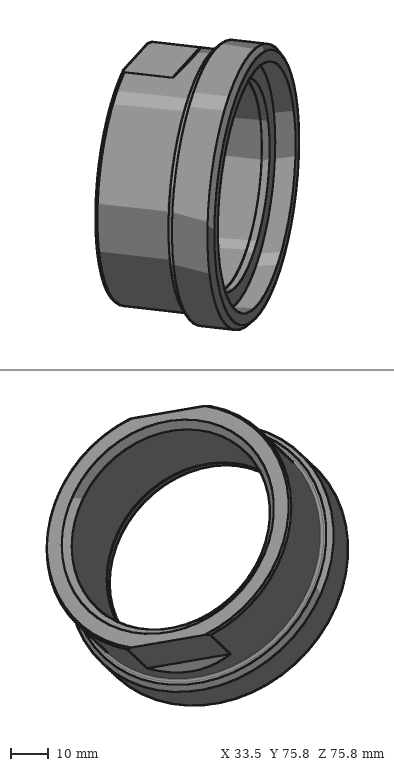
import cadquery as cq

length = 33.5
flange_radius = 75.85 / 2
flange_start = 20.85
flange_chamfer = 1.45

sleeve_radius = 70.0 / 2
end_chamfer_length = 0.75
end_chamfer_depth = 0.45
root_fillet = 0.72

bore_radius = 56.65 / 2
relief_radius = 57.0 / 2
relief_start = 25.8
counterbore_radius = 33.4
counterbore_start = 27.9
entry_radius = 30.35
entry_length = 2.0

flat_height = 32.9
flat_length = 14.1


def make_ring():
    """Revolve the wall section around X."""
    root_start = flange_start - root_fillet
    profile = (
        cq.Workplane("XY")
        .moveTo(0, entry_radius)
        .lineTo(0, sleeve_radius - end_chamfer_depth)
        .lineTo(end_chamfer_length, sleeve_radius)
        .lineTo(root_start, sleeve_radius)
        .radiusArc((flange_start, sleeve_radius + root_fillet), -root_fillet)
        .lineTo(flange_start, flange_radius - flange_chamfer)
        .lineTo(flange_start + flange_chamfer, flange_radius)
        .lineTo(length - flange_chamfer, flange_radius)
        .lineTo(length, flange_radius - flange_chamfer)
        .lineTo(length, counterbore_radius)
        .lineTo(counterbore_start, counterbore_radius)
        .lineTo(counterbore_start, relief_radius)
        .lineTo(relief_start, relief_radius)
        .lineTo(relief_start, bore_radius)
        .lineTo(entry_length, bore_radius)
        .close()
    )
    return profile.revolve(360, (0, 0, 0), (1, 0, 0))


def make_flat_cutter():
    """Block that removes the sleeve above the upper flat."""
    rise = flange_radius - flat_height
    return (
        cq.Workplane("XZ")
        .moveTo(0, flat_height)
        .lineTo(flat_length, flat_height)
        .lineTo(flat_length + rise, flange_radius)
        .lineTo(0, flange_radius)
        .close()
        .extrude(flange_radius, both=True)
    )


upper_cutter = make_flat_cutter()
lower_cutter = upper_cutter.mirror("XY")
result = make_ring().cut(upper_cutter).cut(lower_cutter)